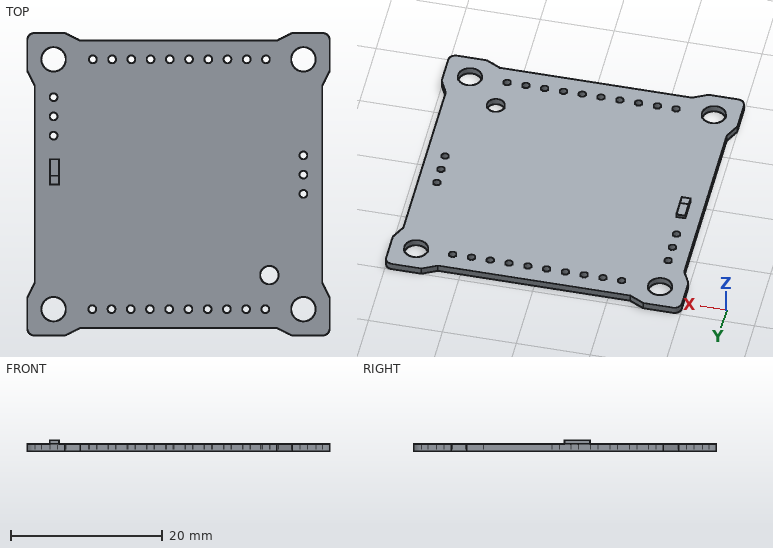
import cadquery as cq

board_size = 40.0
board_thickness = 1.0
corner_radius = 1.0
edge_recess = 1.0
tab_flat = 5.0
tab_length = 7.0

mount_hole_diameter = 3.2
mount_hole_spacing = 33.0
guide_hole_diameter = 2.4
guide_hole_position = (12.0, -12.0)
pin_hole_diameter = 1.0
pin_pitch = 2.54
long_row_count = 10
short_row_count = 3
back_row_center_x = 0.12
front_row_center_x = 0.04
left_row_center_y = 8.96
right_row_center_y = 1.27

chip_width = 1.25
chip_length = 3.4
chip_height = 0.49
chip_center_x = -16.39
chip_center_y = 1.63
metal_thickness = 0.035
pad_inset = 0.05
front_pad_length = 1.12

half_board = board_size / 2
row_offset = mount_hole_spacing / 2
core_height = chip_height - 2 * metal_thickness


def board_blank():
    """Square plate with recessed sides that leave a tab with a rounded tip at each corner."""
    blank = cq.Workplane("XY").rect(board_size, board_size).extrude(board_thickness)
    blank = blank.edges("|Z").fillet(corner_radius)
    recess = (
        cq.Workplane("XY")
        .polyline([
            (-half_board + tab_flat, half_board),
            (-half_board + tab_length, half_board - edge_recess),
            (half_board - tab_length, half_board - edge_recess),
            (half_board - tab_flat, half_board),
        ])
        .close()
        .extrude(board_thickness)
    )
    for quarter_turn in range(4):
        blank = blank.cut(recess.rotate((0, 0, 0), (0, 0, 1), 90 * quarter_turn))
    return blank


def row_steps(count):
    """Pin positions along a row, measured from the middle of the row."""
    return [(i - (count - 1) / 2) * pin_pitch for i in range(count)]


def hole_cutter(points, diameter):
    return cq.Workplane("XY").pushPoints(points).circle(diameter / 2).extrude(board_thickness)


def make_board():
    mount_points = [(x, y) for x in (-row_offset, row_offset) for y in (-row_offset, row_offset)]
    pin_points = []
    for center_x, y in ((back_row_center_x, row_offset), (front_row_center_x, -row_offset)):
        pin_points += [(center_x + step, y) for step in row_steps(long_row_count)]
    for x, center_y in ((-row_offset, left_row_center_y), (row_offset, right_row_center_y)):
        pin_points += [(x, center_y + step) for step in row_steps(short_row_count)]
    return (
        board_blank()
        .cut(hole_cutter(mount_points, mount_hole_diameter))
        .cut(hole_cutter([guide_hole_position], guide_hole_diameter))
        .cut(hole_cutter(pin_points, pin_hole_diameter))
    )


def chip_layer(width, length, center_y, bottom, thickness):
    """Rectangular layer of the chip, centred on the chip across its width."""
    return (
        cq.Workplane("XY", origin=(chip_center_x, center_y, bottom))
        .rect(width, length)
        .extrude(thickness)
    )


def make_bottom_plate():
    return chip_layer(chip_width, chip_length, chip_center_y, board_thickness, metal_thickness)


def make_core():
    bottom = board_thickness + metal_thickness
    return chip_layer(chip_width, chip_length, chip_center_y, bottom, core_height)


def make_top_pads():
    """Short front pad and long back pad, touching end to end on top of the core."""
    pad_width = chip_width - 2 * pad_inset
    back_pad_length = chip_length - 2 * pad_inset - front_pad_length
    bottom = board_thickness + metal_thickness + core_height
    pads = []
    pad_front = chip_center_y - chip_length / 2 + pad_inset
    for length in (front_pad_length, back_pad_length):
        pads.append(chip_layer(pad_width, length, pad_front + length / 2, bottom, metal_thickness))
        pad_front += length
    return pads


board = make_board()
bottom_plate = make_bottom_plate()
core = make_core()
top_pads = make_top_pads()

result = cq.Compound.makeCompound([
    board.val(),
    bottom_plate.val(),
    core.val(),
    *[pad.val() for pad in top_pads],
])